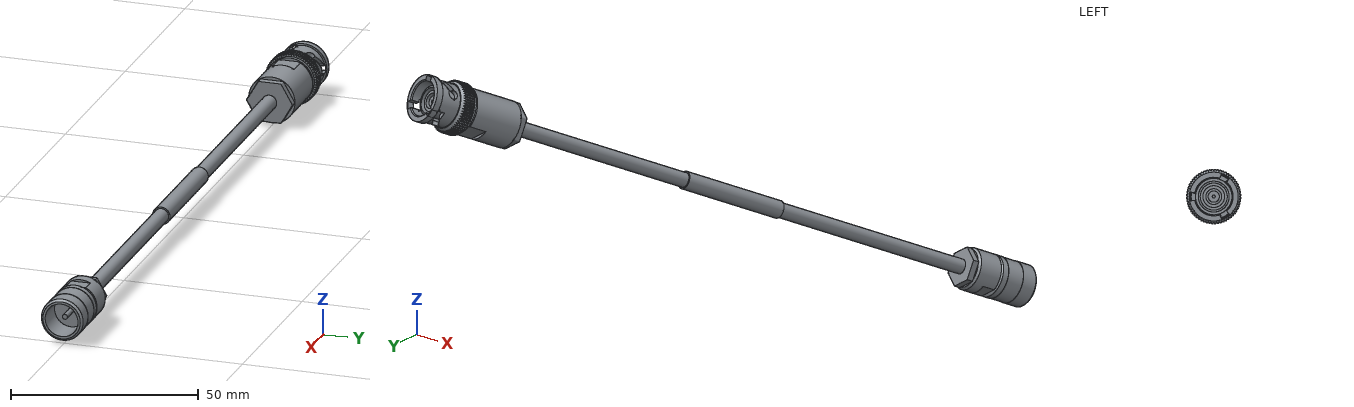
import cadquery as cq
import math

total_length = 204.33
tool_overrun = 1.0

collar_radius = 6.5
collar_length = 1.9
barrel_radius = 6.0
coupling_bore_radius = 4.85
mouth_chamfer = 0.3
knurl_radius = 14.49 / 2
knurl_start = 8.2
knurl_chamfer = 1.0
knurl_end = 12.2
coupling_end = 13.3
knurl_count = 60
knurl_depth = 0.4
knurl_half_width = 0.45

slot_count = 3
slot_entry_angle = 60.0
slot_turn = 54.0
slot_width = 2.2
slot_root_radius = 6.1
slot_inner_radius = 4.3
slot_ramp_start = 2.6
slot_ramp_end = 6.2
slot_end_x = 5.8
slot_end_radius = 1.4
ramp_tangential_width = 3.2

bnc_body_radius = 6.5
bnc_body_end = 28.5
bnc_body_chamfer = 0.4
bnc_flat_height = 5.7
bnc_flat_end = 19.1
bnc_neck_start = 9.0
contact_start = 2.5
outer_contact_radius = 4.1
outer_contact_bore = 3.6
inner_contact_start = 3.0
inner_contact_radius = 2.9
inner_contact_bore = 2.1
socket_start = 3.5
socket_radius = 1.5
socket_bore = 0.4
contact_floor = 8.0

bnc_nut_length = 2.0
bnc_nut_apothem = 5.6
bnc_nut_edge_fillet = 0.5
plug_nut_length = 1.8
plug_nut_apothem = 4.75

cable_radius = 2.05
sleeve_radius = 2.45
sleeve_start = 88.9
sleeve_length = 32.0

plug_body_start = 184.6
plug_body_end = 192.0
plug_body_radius = 5.85
plug_body_chamfer = 0.6
plug_flat_height = 5.2
plug_flat_start = 188.3
plug_neck_length = 4.5
plug_pin_radius = 0.7
plug_pin_length = 5.0

ring_radius = 5.85
ring_rear_cone_length = 0.7
ring_rear_cone_depth = 1.1
ring_front_chamfer = 0.6
band_start = 194.5
band_end = 199.5
band_depth = 0.08
ring_bore_radius = 4.6


def revolve_x(points):
    """Revolve an outline of (x, radius) points about the X axis."""
    return cq.Workplane("XZ").polyline(points).close().revolve(360, (0, 0, 0), (1, 0, 0))


def rod(start, end, radius):
    """Cylinder on the X axis."""
    return cq.Workplane("YZ", origin=(start, 0, 0)).circle(radius).extrude(end - start)


def tube(start, end, radius, bore):
    return rod(start, end, radius).cut(rod(start, end, bore))


def turn_x(shape, angle):
    return shape.rotate((0, 0, 0), (1, 0, 0), angle)


def wrench_flats(start, end, height, radius):
    """Two blocks that leave flats at z = +height and z = -height."""
    block = cq.Workplane("XY").box(
        end - start, 2 * (radius + tool_overrun), radius, centered=(False, True, False)
    )
    upper = block.translate((start, 0, height))
    return upper.union(upper.mirror("XY"))


def clamp_nut(start, length, apothem, edge_fillet=0):
    """Hexagonal nut with corners on the Y axis, optionally rounded, and a hole for the cable."""
    across_corners = 2 * apothem / math.cos(math.pi / 6)
    blank = cq.Workplane("YZ", origin=(start, 0, 0)).polygon(6, across_corners).extrude(length)
    if edge_fillet:
        blank = blank.edges("|X").fillet(edge_fillet)
    return blank.cut(rod(start, start + length, cable_radius))


def slot_cutters():
    """Cutters for the entry groove, helical ramp and round seat, with the seat centred on -Y."""
    reach = barrel_radius + tool_overrun
    entry = cq.Workplane("XY").box(
        slot_end_x - slot_end_radius, slot_root_radius, slot_width, centered=(False, False, True)
    )
    entry = turn_x(entry.mirror("XZ"), -slot_turn)
    ramp = (
        cq.Workplane("YZ", origin=(slot_ramp_start, 0, 0))
        .polyline([
            (-slot_inner_radius, -ramp_tangential_width / 2),
            (-reach, -ramp_tangential_width / 2),
            (-reach, ramp_tangential_width / 2),
            (-slot_inner_radius, ramp_tangential_width / 2),
        ])
        .close()
        .twistExtrude(slot_ramp_end - slot_ramp_start, slot_turn)
    )
    ramp = turn_x(ramp, -slot_turn)
    seat = cq.Workplane("XZ").center(slot_end_x, 0).circle(slot_end_radius).extrude(reach)
    return entry, ramp, seat


def make_bayonet_coupling():
    coupling = revolve_x([
        (0, coupling_bore_radius + mouth_chamfer),
        (0, collar_radius),
        (collar_length, collar_radius),
        (collar_length, barrel_radius),
        (knurl_start, barrel_radius),
        (knurl_start, knurl_radius - knurl_chamfer),
        (knurl_start + knurl_chamfer, knurl_radius),
        (knurl_end, knurl_radius),
        (knurl_end, collar_radius),
        (coupling_end, collar_radius),
        (coupling_end, coupling_bore_radius),
        (mouth_chamfer, coupling_bore_radius),
    ])
    seat_angle = slot_turn - slot_entry_angle
    for cutter in slot_cutters():
        for i in range(slot_count):
            coupling = coupling.cut(turn_x(cutter, seat_angle + i * 360 / slot_count))
    groove = (
        cq.Workplane("YZ", origin=(knurl_start, 0, 0))
        .polyline([
            (knurl_radius - knurl_depth, 0),
            (knurl_radius + knurl_depth, knurl_half_width),
            (knurl_radius + knurl_depth, -knurl_half_width),
        ])
        .close()
        .extrude(knurl_end - knurl_start)
    )
    grooves = [turn_x(groove, i * 360 / knurl_count).val() for i in range(knurl_count)]
    return coupling.cut(cq.Compound.makeCompound(grooves))


def make_bayonet_body():
    body = revolve_x([
        (contact_floor, 0),
        (contact_floor, outer_contact_radius),
        (bnc_neck_start, outer_contact_radius),
        (bnc_neck_start, coupling_bore_radius),
        (coupling_end, coupling_bore_radius),
        (coupling_end, bnc_body_radius - bnc_body_chamfer),
        (coupling_end + bnc_body_chamfer, bnc_body_radius),
        (bnc_body_end, bnc_body_radius),
        (bnc_body_end, 0),
    ])
    body = body.cut(wrench_flats(coupling_end, bnc_flat_end, bnc_flat_height, bnc_body_radius))
    body = body.union(tube(contact_start, contact_floor, outer_contact_radius, outer_contact_bore))
    body = body.union(tube(inner_contact_start, contact_floor, inner_contact_radius, inner_contact_bore))
    return body.union(tube(socket_start, contact_floor, socket_radius, socket_bore))


def make_plug_body():
    neck_end = plug_body_end + plug_neck_length
    body = revolve_x([
        (plug_body_start, 0),
        (plug_body_start, plug_body_radius - plug_body_chamfer),
        (plug_body_start + plug_body_chamfer, plug_body_radius),
        (plug_body_end, plug_body_radius),
        (plug_body_end, ring_bore_radius),
        (neck_end, ring_bore_radius),
        (neck_end, plug_pin_radius),
        (neck_end + plug_pin_length, plug_pin_radius),
        (neck_end + plug_pin_length, 0),
    ])
    return body.cut(wrench_flats(plug_flat_start, plug_body_end, plug_flat_height, plug_body_radius))


def make_plug_ring():
    return revolve_x([
        (plug_body_end, ring_bore_radius),
        (plug_body_end, ring_radius - ring_rear_cone_depth),
        (plug_body_end + ring_rear_cone_length, ring_radius),
        (band_start, ring_radius),
        (band_start, ring_radius - band_depth),
        (band_end, ring_radius - band_depth),
        (band_end, ring_radius),
        (total_length - ring_front_chamfer, ring_radius),
        (total_length, ring_radius - ring_front_chamfer),
        (total_length, ring_bore_radius),
    ])


bayonet_coupling = make_bayonet_coupling()
bayonet_body = make_bayonet_body()
bayonet_nut = clamp_nut(bnc_body_end, bnc_nut_length, bnc_nut_apothem, bnc_nut_edge_fillet)

cable = rod(bnc_body_end, plug_body_start, cable_radius)
heat_shrink = tube(sleeve_start, sleeve_start + sleeve_length, sleeve_radius, cable_radius)

plug_nut = clamp_nut(plug_body_start - plug_nut_length, plug_nut_length, plug_nut_apothem)
plug_body = make_plug_body()
plug_ring = make_plug_ring()

result = cq.Compound.makeCompound([
    bayonet_coupling.val(),
    bayonet_body.val(),
    bayonet_nut.val(),
    cable.val(),
    heat_shrink.val(),
    plug_nut.val(),
    plug_body.val(),
    plug_ring.val(),
])